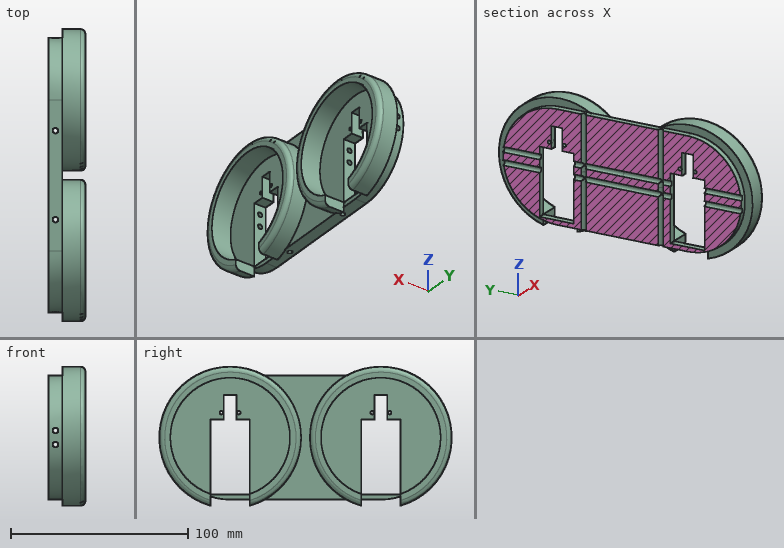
import cadquery as cq

overall_length = 164.9
ring_diameter = 80.0
ring_center_y = (overall_length - ring_diameter) / 2
ring_centers = (-ring_center_y, ring_center_y)
ring_bore_diameter = 67.5
ring_depth = 13.0
ring_edge_radius = 3.0

plate_thickness = 7.9
plate_height = 70.0
plate_length = 2 * ring_center_y + plate_height
total_depth = plate_thickness + ring_depth

window_width = 22.0
window_bottom = -32.0
window_top = 10.0
notch_width = 7.0
notch_top = 23.9

screw_hole_diameter = 1.8
screw_hole_offset_y = 5.0
screw_hole_z = 14.0

cross_hole_diameter = 3.0
long_hole_offset_z = 4.0
upright_hole_offset_y = 25.0


def box_between(width, bottom, top, start_x, depth, center_y):
    """Box centred on center_y, spanning bottom to top in Z and running along +X."""
    corner = (start_x, center_y - width / 2, bottom)
    return cq.Workplane("XY").box(depth, width, top - bottom, centered=False).translate(corner)


def make_plate():
    """Plate with semicircular ends."""
    return cq.Workplane("YZ").slot2D(plate_length, plate_height).extrude(plate_thickness)


def make_ring(center_y):
    """Open ring with a rounded outer front edge and a gap at the bottom."""
    ring = (
        cq.Workplane("YZ", origin=(plate_thickness, center_y, 0))
        .circle(ring_diameter / 2)
        .extrude(ring_depth)
        .faces(">X")
        .edges()
        .fillet(ring_edge_radius)
        .faces(">X")
        .workplane(origin=(total_depth, center_y, 0))
        .hole(ring_bore_diameter)
    )
    gap = box_between(window_width, -ring_diameter / 2, 0, plate_thickness, ring_depth, center_y)
    return ring.cut(gap)


def make_window(center_y):
    """Stepped opening through the plate, with a screw hole on each side of the notch."""
    opening = box_between(window_width, window_bottom, window_top, 0, plate_thickness, center_y)
    notch = box_between(notch_width, window_top, notch_top, 0, plate_thickness, center_y)
    screw_holes = (
        cq.Workplane("YZ")
        .pushPoints([(center_y + side * screw_hole_offset_y, screw_hole_z) for side in (-1, 1)])
        .circle(screw_hole_diameter / 2)
        .extrude(plate_thickness)
    )
    return opening.union(notch).union(screw_holes)


def make_cross_holes():
    """Holes in the middle of the plate's thickness: two along its length, two along its height."""
    middle_x = plate_thickness / 2
    along_length = (
        cq.Workplane("XZ")
        .pushPoints([(middle_x, side * long_hole_offset_z) for side in (-1, 1)])
        .circle(cross_hole_diameter / 2)
        .extrude(plate_length / 2, both=True)
    )
    along_height = (
        cq.Workplane("XY")
        .pushPoints([(middle_x, side * upright_hole_offset_y) for side in (-1, 1)])
        .circle(cross_hole_diameter / 2)
        .extrude(plate_height / 2, both=True)
    )
    return along_length.union(along_height)


result = make_plate()
for y in ring_centers:
    result = result.union(make_ring(y))
    result = result.cut(make_window(y))
result = result.cut(make_cross_holes())